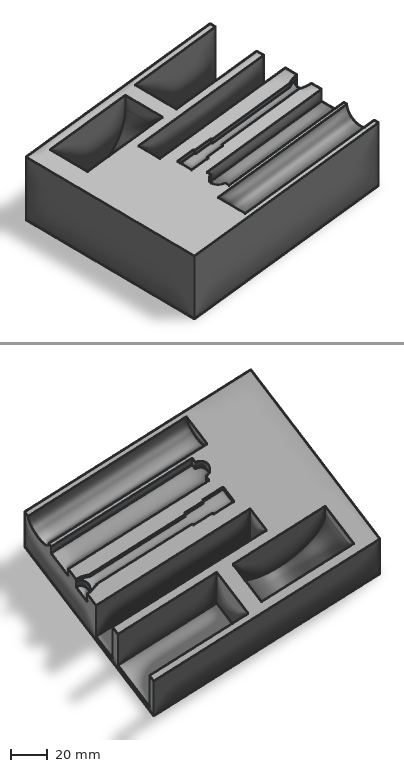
import cadquery as cq

BLOCK_WIDTH = 122.82
BLOCK_LENGTH = 148.97
BLOCK_HEIGHT = 45.0

OVERCUT = 1.0

BAY_LEFT = 4.0
BAY_WIDTH = 30.0
BAY_LENGTH = 65.0
BAY_DEPTH = 40.0

DEEP_SLOT_LEFT = 39.2
DEEP_SLOT_WIDTH = 15.6
DEEP_SLOT_LENGTH = 101.4
DEEP_SLOT_DEPTH = 40.0

DISC_LEFT = 5.7
DISC_WIDTH = 27.2
DISC_RADIUS = 30.4
DISC_AXIS_FROM_BACK = 105.3
DISC_AXIS_DEPTH = 10.0

TOOL_CENTER = 68.6
TOOL_DEPTH = 3.0
MOUTH_WIDTH = 10.6
MOUTH_LENGTH = 7.8
MOUTH_BULGE = 0.4
SHAFT_WIDTH = 6.9
SHAFT_END = 70.7
COLLAR_WIDTH = 8.7
COLLAR_END = 83.4
HANDLE_WIDTH = 10.5
HANDLE_END = 96.8
NOTCH_RADIUS = 5.3
NOTCH_OFFSET = 0.6
NOTCH_DEPTH = 10.0

NOSE_SLOT_CENTER = 89.4
NOSE_SLOT_WIDTH = 16.2
NOSE_SLOT_LENGTH = 92.8
NOSE_SLOT_DEPTH = 8.6
NOSE_RADIUS = 5.0

TROUGH_CENTER = 109.7
TROUGH_RADIUS = 9.9
TROUGH_LENGTH = 104.3


def sink(outline, depth):
    """Turn a closed outline in the top face into a cutter of the given depth."""
    return outline.extrude(depth + OVERCUT).translate((0, 0, -depth))


def back_slot(left, width, length, depth):
    """Rectangular slot running forward from the back face."""
    outline = cq.Workplane("XY").moveTo(left, OVERCUT).lineTo(left + width, OVERCUT)
    outline = outline.lineTo(left + width, -length).lineTo(left, -length).close()
    return sink(outline, depth)


def disc_pocket():
    """Cylinder across X, opened upward by a box as wide as its diameter."""
    axis_y = -DISC_AXIS_FROM_BACK
    wall_height = DISC_AXIS_DEPTH + OVERCUT
    drum = (
        cq.Workplane("YZ", origin=(DISC_LEFT, axis_y, -DISC_AXIS_DEPTH))
        .circle(DISC_RADIUS)
        .extrude(DISC_WIDTH)
    )
    opening = cq.Workplane("XY").box(DISC_WIDTH, 2 * DISC_RADIUS, wall_height, centered=(False, True, False))
    opening = opening.translate((DISC_LEFT, axis_y, -DISC_AXIS_DEPTH))
    return drum.union(opening)


def tool_slot():
    """Slot stepping from flared mouth to shaft, collar and handle, plus the finger notch."""
    mouth_half = MOUTH_WIDTH / 2
    shaft_half = SHAFT_WIDTH / 2
    flare_mid = (mouth_half + shaft_half) / 2 + MOUTH_BULGE
    mouth = (
        cq.Workplane("XY", origin=(TOOL_CENTER, 0, 0))
        .moveTo(-mouth_half, 0)
        .lineTo(mouth_half, 0)
        .threePointArc((flare_mid, -MOUTH_LENGTH / 2), (shaft_half, -MOUTH_LENGTH))
        .lineTo(-shaft_half, -MOUTH_LENGTH)
        .threePointArc((-flare_mid, -MOUTH_LENGTH / 2), (-mouth_half, 0))
        .close()
    )
    cutter = sink(mouth, TOOL_DEPTH)
    sections = (
        (SHAFT_WIDTH, 0, SHAFT_END),
        (COLLAR_WIDTH, SHAFT_END, COLLAR_END),
        (HANDLE_WIDTH, COLLAR_END, HANDLE_END),
    )
    for width, start, end in sections:
        outline = cq.Workplane("XY").center(TOOL_CENTER, -(start + end) / 2).rect(width, end - start)
        cutter = cutter.union(sink(outline, TOOL_DEPTH))
    notch = cq.Workplane("XY").center(TOOL_CENTER, NOTCH_OFFSET).circle(NOTCH_RADIUS)
    return cutter.union(sink(notch, NOTCH_DEPTH))


def nose_slot():
    """Shallow slot ending in a narrower round nose."""
    left = NOSE_SLOT_CENTER - NOSE_SLOT_WIDTH / 2
    slot = back_slot(left, NOSE_SLOT_WIDTH, NOSE_SLOT_LENGTH, NOSE_SLOT_DEPTH)
    nose = cq.Workplane("XY").center(NOSE_SLOT_CENTER, -NOSE_SLOT_LENGTH).circle(NOSE_RADIUS)
    return slot.union(sink(nose, NOSE_SLOT_DEPTH))


def trough():
    """Cylinder along Y, half sunk into the top face."""
    return (
        cq.Workplane("XZ", origin=(TROUGH_CENTER, OVERCUT, 0))
        .circle(TROUGH_RADIUS)
        .extrude(TROUGH_LENGTH + OVERCUT)
    )


block = cq.Workplane("XY").box(BLOCK_WIDTH, BLOCK_LENGTH, BLOCK_HEIGHT, centered=False)
block = block.translate((0, -BLOCK_LENGTH, -BLOCK_HEIGHT))

result = (
    block.cut(back_slot(BAY_LEFT, BAY_WIDTH, BAY_LENGTH, BAY_DEPTH))
    .cut(back_slot(DEEP_SLOT_LEFT, DEEP_SLOT_WIDTH, DEEP_SLOT_LENGTH, DEEP_SLOT_DEPTH))
    .cut(disc_pocket())
    .cut(tool_slot())
    .cut(nose_slot())
    .cut(trough())
)